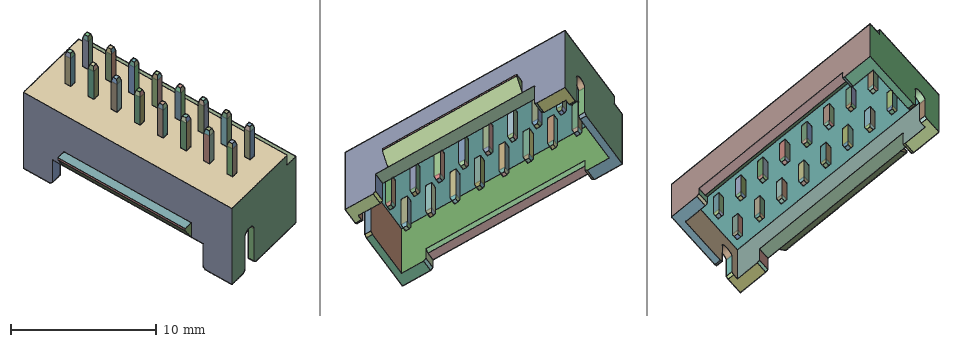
import cadquery as cq

length = 18.0
depth = 7.29
height = 7.7
step_width = 1.0
step_drop = 0.99

end_wall = 0.5
side_wall = 0.9
cavity_depth = 6.0

mouth_chamfer = 0.2
notch_length = 13.0
front_notch_height = 2.5
rear_notch_height = 1.25
rear_inner_chamfer = 0.25
end_slot_width = 1.0
end_slot_height = 4.01
end_slot_y = 2.0

latch_length = 11.0
latch_reach = 0.7
latch_top = 3.98
latch_lip = 0.22

pin_columns = 8
pin_rows = 2
pin_pitch = 2.0
pin_size = 0.5
pin_tip_size = 0.3
pin_tip_length = 0.38
pin_top = 10.9
pin_bottom = 2.2


def make_block():
    """Box with a step along its top rear edge."""
    block = cq.Workplane("XY").box(length, depth, height, centered=(True, False, False))
    step = (
        cq.Workplane("XY", origin=(0, depth - step_width, height - step_drop))
        .box(length, step_width, step_drop, centered=(True, False, False))
    )
    return block.cut(step)


def make_cavity():
    """Pocket inside the walls, open at the mouth."""
    return cq.Workplane("XY", origin=(0, depth / 2, 0)).box(
        length - 2 * end_wall, depth - 2 * side_wall, cavity_depth, centered=(True, True, False)
    )


def flared_outline(plane, width, top):
    """Outline of an upright opening whose lower corners flare out at the mouth."""
    half = width / 2
    return (
        plane.moveTo(-half, top)
        .lineTo(-half, mouth_chamfer)
        .lineTo(-half - mouth_chamfer, 0)
        .lineTo(half + mouth_chamfer, 0)
        .lineTo(half, mouth_chamfer)
        .lineTo(half, top)
    )


def make_front_notch():
    """Wide notch through the front wall."""
    plane = cq.Workplane("XZ")
    return flared_outline(plane, notch_length, front_notch_height).close().extrude(-side_wall)


def make_rear_notch():
    """Shallower notch through the rear wall, its upper inner edge chamfered."""
    inner_y = depth - side_wall
    notch = (
        flared_outline(cq.Workplane("XZ", origin=(0, depth, 0)), notch_length, rear_notch_height)
        .close()
        .extrude(side_wall)
    )
    inner_chamfer = (
        cq.Workplane("YZ", origin=(-notch_length / 2, 0, 0))
        .moveTo(inner_y, rear_notch_height)
        .lineTo(inner_y + rear_inner_chamfer, rear_notch_height)
        .lineTo(inner_y, rear_notch_height + rear_inner_chamfer)
        .close()
        .extrude(notch_length)
    )
    return notch.union(inner_chamfer)


def make_end_slots():
    """Round-topped slot running through both end walls."""
    plane = cq.Workplane("YZ", origin=(0, end_slot_y, 0))
    spring_height = end_slot_height - end_slot_width / 2
    return (
        flared_outline(plane, end_slot_width, spring_height)
        .threePointArc((0, end_slot_height), (-end_slot_width / 2, spring_height))
        .close()
        .extrude(length / 2, both=True)
    )


def make_latch():
    """Ramp on the front face with a flat top and a short vertical lip."""
    return (
        cq.Workplane("YZ", origin=(-latch_length / 2, 0, 0))
        .moveTo(0, latch_top)
        .lineTo(-latch_reach, latch_top)
        .lineTo(-latch_reach, latch_top - latch_lip)
        .lineTo(0, front_notch_height)
        .close()
        .extrude(latch_length)
    )


def make_pin(x, y):
    """Square pin through the cavity roof, tapered at both ends."""
    shank_bottom = pin_bottom + pin_tip_length
    shank_top = pin_top - pin_tip_length
    pin = cq.Workplane("XY", origin=(x, y, shank_bottom)).box(
        pin_size, pin_size, shank_top - shank_bottom, centered=(True, True, False)
    )
    for shank_end, direction in ((shank_bottom, -1), (shank_top, 1)):
        tip = (
            cq.Workplane("XY", origin=(x, y, shank_end))
            .rect(pin_size, pin_size)
            .workplane(offset=direction * pin_tip_length)
            .rect(pin_tip_size, pin_tip_size)
            .loft()
        )
        pin = pin.union(tip)
    return pin


result = (
    make_block()
    .cut(make_cavity())
    .cut(make_front_notch())
    .cut(make_rear_notch())
    .cut(make_end_slots())
    .union(make_latch())
)

for column in range(pin_columns):
    for row in range(pin_rows):
        pin_x = (column - (pin_columns - 1) / 2) * pin_pitch
        pin_y = depth / 2 + (row - (pin_rows - 1) / 2) * pin_pitch
        result = result.union(make_pin(pin_x, pin_y))